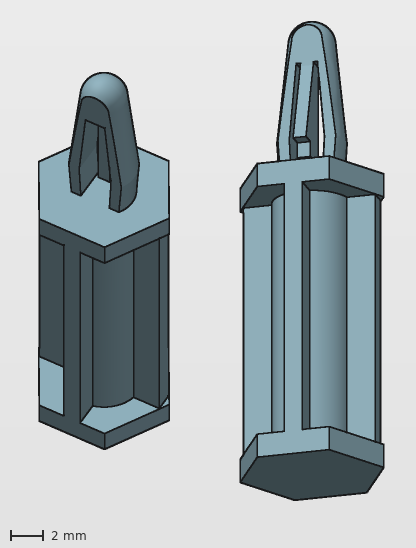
import cadquery as cq
import math

total_height = 29.6
flats = 8.0
hex_corner_diameter = flats / math.cos(math.radians(30))
flange_thickness = 1.5
body_height = 19.25
core_diameter = 4.97
rib_thickness = 1.15
rib_span_x = 8.47

tip_radius = 1.48
tip_center_z = total_height - tip_radius
shoulder_radius = 2.15
shoulder_z = 21.7
pin_base_radius = 2.0
pin_thickness = 2.22

slot_top_z = 26.65
slot_top_half_width = 0.68
slot_shoulder_half_width = 1.12
slot_base_half_width = 1.0

tongue_width = 0.83
tongue_front_y = 0.0
tongue_root_radius = 0.98
catch_reach_y = 2.65
catch_z = 21.2
catch_top_z = 26.43
tail_reach_y = 1.72
tail_bottom_z = 20.22


def flange(bottom_z):
    return (
        cq.Workplane("XY", origin=(0, 0, bottom_z))
        .polygon(6, hex_corner_diameter)
        .extrude(flange_thickness)
    )


def spacer_body():
    core = cq.Workplane("XY").circle(core_diameter / 2).extrude(body_height)
    rib_x = cq.Workplane("XY").rect(rib_span_x, rib_thickness).extrude(body_height)
    rib_y = cq.Workplane("XY").rect(rib_thickness, flats).extrude(body_height)
    body = core.union(rib_x).union(rib_y)
    for bottom_z in (0, body_height - flange_thickness):
        body = body.union(flange(bottom_z))
    return body


def split_pin():
    diagonal = tip_radius * math.sqrt(0.5)
    pin = (
        cq.Workplane("XZ")
        .moveTo(0, body_height)
        .lineTo(pin_base_radius, body_height)
        .lineTo(shoulder_radius, shoulder_z)
        .lineTo(tip_radius, tip_center_z)
        .threePointArc((diagonal, tip_center_z + diagonal), (0, total_height))
        .close()
        .revolve(360, (0, 0), (0, 1))
    )
    slab = (
        cq.Workplane("XY")
        .box(2 * shoulder_radius, pin_thickness, total_height, centered=(True, True, False))
    )
    slot = (
        cq.Workplane("XZ")
        .polyline([
            (-slot_base_half_width, body_height),
            (-slot_shoulder_half_width, shoulder_z),
            (-slot_top_half_width, slot_top_z),
            (slot_top_half_width, slot_top_z),
            (slot_shoulder_half_width, shoulder_z),
            (slot_base_half_width, body_height),
        ])
        .close()
        .extrude(pin_thickness / 2, both=True)
    )
    return pin.intersect(slab).cut(slot)


def locking_tongue():
    back_y = pin_thickness / 2
    root_front_y = tongue_front_y - tongue_root_radius
    root_bottom_z = slot_top_z - tongue_root_radius
    diagonal = tongue_root_radius * math.sqrt(0.5)
    return (
        cq.Workplane("YZ")
        .moveTo(root_front_y, slot_top_z)
        .threePointArc(
            (root_front_y + diagonal, root_bottom_z + diagonal),
            (tongue_front_y, root_bottom_z),
        )
        .lineTo(tongue_front_y, tail_bottom_z)
        .lineTo(tail_reach_y, tail_bottom_z)
        .lineTo(tail_reach_y, catch_z)
        .lineTo(catch_reach_y, catch_z)
        .lineTo(back_y, catch_top_z)
        .lineTo(back_y, slot_top_z)
        .close()
        .extrude(tongue_width / 2, both=True)
    )


result = spacer_body().union(split_pin()).union(locking_tongue())